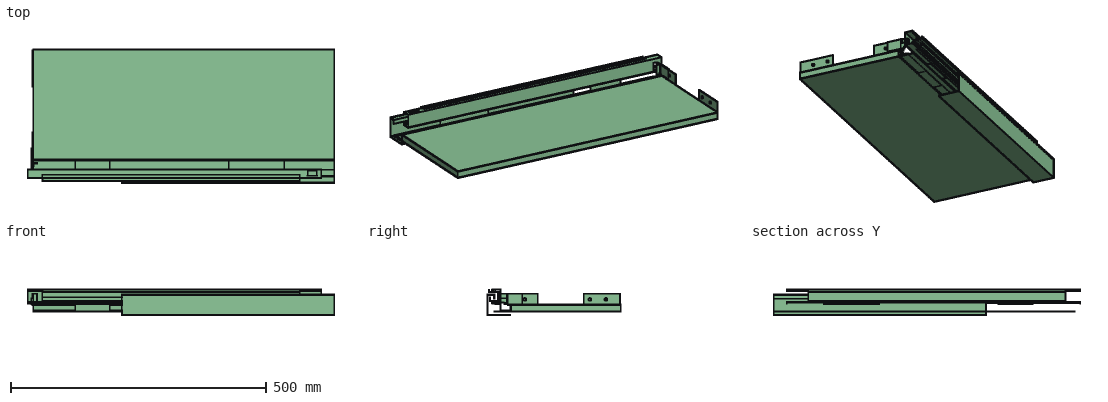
import cadquery as cq

TOTAL_LENGTH = 601.5
TOTAL_DEPTH = 262.5
TOTAL_HEIGHT = 51.7

SHEET = 1.7
RAIL_SHEET = 1.2
SHELF_START = 11.0

BASE_BOTTOM = 6.9
BASE_TOP = BASE_BOTTOM + SHEET
BASE_EDGE = 14.0
WALL_OUTER = 45.4
WALL_INNER = WALL_OUTER + SHEET

BOARD_TOP = 20.4
COVER_TOP = BOARD_TOP + SHEET
COVER_EDGE = 43.6

TAB_TOP = 43.0
TAB_HOLE_Z = 31.4
TAB_HOLE_DIAMETER = 5.0
TAB_FRONT = SHELF_START - SHEET
CORNER_TAB_START = 40.2
TABS = [
    (189.5, 261.0, [201.5, 233.0]),
    (CORNER_TAB_START, 99.5, [74.0]),
]

RAIL_LENGTH = 576.0
RAIL_BACK = 27.2
RAIL_FRONT = 9.5
RAIL_BOTTOM = 23.3
RAIL_TOP = TOTAL_HEIGHT
RAIL_HOOK = 4.0
RAIL_HOOK_SHEET = 1.7
RAIL_BEND_RADIUS = 1.5
RAIL_WINDOW_X = (549.0, 567.0)
RAIL_WINDOW_Y = (14.5, 24.0)
RAIL_SLOT_X = (SHELF_START, 18.0)
RAIL_SLOT_BOTTOM = 27.0

MIDDLE_START = 29.0
MIDDLE_END = 534.0
MIDDLE_BACK = 22.6
MIDDLE_UPPER_FRONT = 3.4
MIDDLE_LOWER_FRONT = 5.2
MIDDLE_BOTTOM = 28.0
MIDDLE_TOP = 47.0
MIDDLE_UPPER_LIP_TOP = 50.6
MIDDLE_LOWER_LIP_TOP = 36.0
MIDDLE_LIP_SHEET = 1.2

CAGE_BACK = 16.5

FIXED_START = 185.0
FIXED_TOP = 41.7
FIXED_SHEET = 1.8
FIXED_TRACK_BACK = 14.6
FIXED_TRACK_BOTTOM = 32.5
FIXED_FLANGE_BACK = 45.4

STRIP_THICKNESS = 2.0
STRIP_TOP = BASE_TOP + STRIP_THICKNESS
TONGUE_SHEET = 1.2
TONGUE_FRONT = 16.5
TONGUE_BEND_RADIUS = 2.0
TONGUES_X = [(93.0, 161.5), (394.0, 503.0)]

LOCK_FRONT = TAB_FRONT - SHEET
LOCK_Y = (38.5, 69.0)
LOCK_LEG_END = 19.0
LOCK_FOOT_END = 12.0
LOCK_FOOT_EDGE = 33.5
LOCK_ARM_BOTTOM = 25.0
LOCK_ARM_TOP = 34.0


def box(x_range, y_range, z_range):
    """Axis-aligned block between the given limits."""
    (x0, x1), (y0, y1), (z0, z1) = x_range, y_range, z_range
    return cq.Workplane("XY").box(x1 - x0, y1 - y0, z1 - z0, centered=False).translate((x0, y0, z0))


def make_board():
    return box((SHELF_START, TOTAL_LENGTH), (WALL_INNER, TOTAL_DEPTH), (BASE_TOP, BOARD_TOP))


def make_base():
    length = (SHELF_START, TOTAL_LENGTH)
    plate = box(length, (BASE_EDGE, TOTAL_DEPTH), (BASE_BOTTOM, BASE_TOP))
    wall = box(length, (WALL_OUTER, WALL_INNER), (BASE_BOTTOM, BOARD_TOP))
    return plate.union(wall)


def make_cover():
    cover = box((SHELF_START, TOTAL_LENGTH), (COVER_EDGE, TOTAL_DEPTH), (BOARD_TOP, COVER_TOP))
    for low_y, high_y, hole_centres in TABS:
        tab = box((TAB_FRONT, SHELF_START), (low_y, high_y), (BOARD_TOP, TAB_TOP))
        holes = (
            cq.Workplane("YZ", origin=(TAB_FRONT, 0, 0))
            .pushPoints([(y, TAB_HOLE_Z) for y in hole_centres])
            .circle(TAB_HOLE_DIAMETER / 2)
            .extrude(SHEET)
        )
        cover = cover.union(tab.cut(holes))
    return cover


def make_strip():
    strip = box((SHELF_START, TOTAL_LENGTH), (RAIL_BACK - TONGUE_SHEET, COVER_EDGE), (BASE_TOP, STRIP_TOP))
    wall_y = (RAIL_BACK - TONGUE_SHEET, RAIL_BACK)
    for tongue_x in TONGUES_X:
        opening = box(tongue_x, (RAIL_BACK, COVER_EDGE), (BASE_TOP, STRIP_TOP))
        wall = box(tongue_x, wall_y, (BASE_TOP, RAIL_BOTTOM))
        ledge = box(tongue_x, (TONGUE_FRONT, RAIL_BACK), (RAIL_BOTTOM - TONGUE_SHEET, RAIL_BOTTOM))
        tongue = wall.union(ledge)
        inner_corner = (sum(tongue_x) / 2, wall_y[0], RAIL_BOTTOM - TONGUE_SHEET)
        inner_bend = cq.selectors.NearestToPointSelector(inner_corner)
        tongue = tongue.edges(inner_bend).fillet(TONGUE_BEND_RADIUS)
        tongue = tongue.edges(">Y and >Z").fillet(TONGUE_BEND_RADIUS + TONGUE_SHEET)
        strip = strip.cut(opening).union(tongue)
    return strip


def make_lock():
    plate = box((LOCK_FRONT, TAB_FRONT), LOCK_Y, (COVER_TOP, TAB_TOP))
    leg = box((LOCK_FRONT, LOCK_LEG_END), (LOCK_Y[0], CORNER_TAB_START), (COVER_TOP, TAB_TOP))
    arm_y = (RAIL_BACK - RAIL_SHEET, LOCK_Y[0])
    lower_arm = box((LOCK_FRONT, SHELF_START), arm_y, (LOCK_ARM_BOTTOM, LOCK_ARM_TOP))
    upper_arm = box((TAB_FRONT, SHELF_START), (RAIL_BACK, LOCK_Y[0]), (LOCK_ARM_TOP, TAB_TOP))
    foot_y = (LOCK_FOOT_EDGE, LOCK_Y[0])
    foot = box((LOCK_FRONT, LOCK_FOOT_END), foot_y, (COVER_TOP, LOCK_ARM_BOTTOM))
    return plate.union(leg).union(lower_arm).union(upper_arm).union(foot)


def make_sliding_rail():
    length = (0, RAIL_LENGTH)
    rail = box(length, (RAIL_FRONT, RAIL_BACK), (RAIL_BOTTOM, RAIL_TOP))
    rail = rail.edges("<Y and |X").fillet(RAIL_BEND_RADIUS)
    cavity_y = (RAIL_FRONT + RAIL_HOOK_SHEET, RAIL_BACK - RAIL_SHEET)
    rail = rail.cut(box(length, cavity_y, (RAIL_BOTTOM + RAIL_SHEET, RAIL_TOP - RAIL_SHEET)))
    mouth_y = (RAIL_FRONT, cavity_y[0])
    rail = rail.cut(box(length, mouth_y, (RAIL_BOTTOM + RAIL_HOOK, RAIL_TOP - RAIL_HOOK)))
    window = box(RAIL_WINDOW_X, RAIL_WINDOW_Y, (RAIL_TOP - RAIL_SHEET, RAIL_TOP))
    web_y = (RAIL_BACK - RAIL_SHEET, RAIL_BACK)
    slot = box(RAIL_SLOT_X, web_y, (RAIL_SLOT_BOTTOM, TAB_TOP))
    notch = box((LOCK_FRONT, SHELF_START), web_y, (LOCK_ARM_BOTTOM, LOCK_ARM_TOP))
    return rail.cut(window).cut(slot).cut(notch)


def make_middle_rail():
    length = (MIDDLE_START, MIDDLE_END)
    web = box(length, (MIDDLE_BACK - SHEET, MIDDLE_BACK), (MIDDLE_BOTTOM, MIDDLE_TOP))
    upper = box(length, (MIDDLE_UPPER_FRONT, MIDDLE_BACK), (MIDDLE_TOP - SHEET, MIDDLE_TOP))
    lower = box(length, (MIDDLE_LOWER_FRONT, MIDDLE_BACK), (MIDDLE_BOTTOM, MIDDLE_BOTTOM + MIDDLE_LIP_SHEET))
    upper_lip_y = (MIDDLE_UPPER_FRONT, MIDDLE_UPPER_FRONT + MIDDLE_LIP_SHEET)
    upper_lip = box(length, upper_lip_y, (MIDDLE_TOP - SHEET, MIDDLE_UPPER_LIP_TOP))
    lower_lip_y = (MIDDLE_LOWER_FRONT, MIDDLE_LOWER_FRONT + MIDDLE_LIP_SHEET)
    lower_lip = box(length, lower_lip_y, (MIDDLE_BOTTOM, MIDDLE_LOWER_LIP_TOP))
    return web.union(upper).union(lower).union(upper_lip).union(lower_lip)


def make_cage(low_z, high_z):
    return box((MIDDLE_START, MIDDLE_END), (RAIL_FRONT + RAIL_HOOK_SHEET, CAGE_BACK), (low_z, high_z))


def make_fixed_bracket():
    length = (FIXED_START, TOTAL_LENGTH)
    wall = box(length, (0, FIXED_SHEET), (0, FIXED_TOP))
    foot = box(length, (0, FIXED_FLANGE_BACK), (0, FIXED_SHEET))
    top = box(length, (0, FIXED_TRACK_BACK), (FIXED_TOP - FIXED_SHEET, FIXED_TOP))
    track_y = (FIXED_TRACK_BACK - FIXED_SHEET, FIXED_TRACK_BACK)
    track = box(length, track_y, (FIXED_TRACK_BOTTOM, FIXED_TOP))
    return wall.union(foot).union(top).union(track)


board = make_board()
base = make_base()
cover = make_cover()
strip = make_strip()
lock = make_lock()
sliding_rail = make_sliding_rail()
middle_rail = make_middle_rail()
fixed_bracket = make_fixed_bracket()

cage_heights = [
    (RAIL_BOTTOM + RAIL_SHEET, MIDDLE_BOTTOM),
    (MIDDLE_TOP, RAIL_TOP - RAIL_SHEET),
]
cages = [make_cage(low_z, high_z) for low_z, high_z in cage_heights]

bodies = [board, base, cover, strip, lock, sliding_rail, middle_rail, fixed_bracket, *cages]
result = cq.Compound.makeCompound([body.val() for body in bodies])